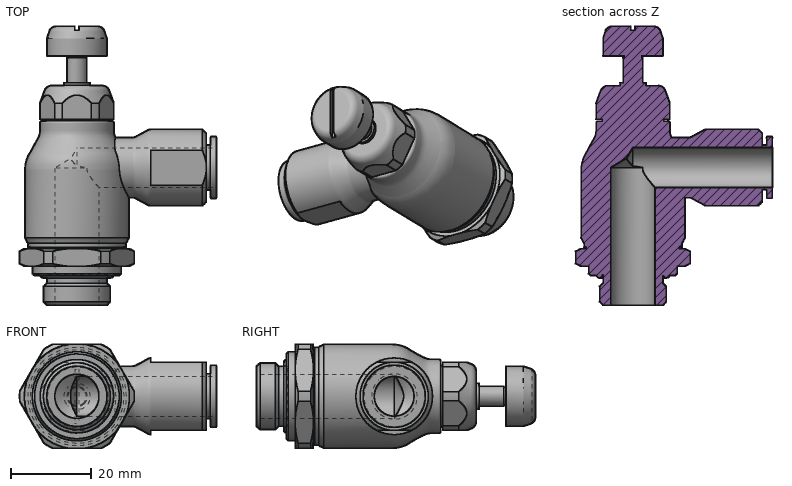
import cadquery as cq
import math


hex_sides = 6

thread_radius = 8.33
thread_neck_radius = 7.5
thread_chamfer_length = 0.9
thread_end_y = 4.7
neck_start_y = 5.53

o_ring_section_radius = 0.85
o_ring_tip_y = 6.8

seat_radius = 11.1
seat_chamfer = 0.55
seat_y = 7.37
nut_bottom_y = 9.72
nut_top_y = 14.12
nut_across_flats = 25.96
nut_corner_radius = 14.3
nut_face_radius = 13.1
nut_chamfer_length = 0.65

groove_radius = 11.65
ring_radius = 12.25
ring_bottom_y = 14.48
ring_top_y = 15.5
body_lip_radius = 12.45
body_lip_y = 15.75
body_step_y = 16.3
body_step_radius = 12.7

body_radius = 12.98
body_bottom_y = 16.8
body_top_y = 33.8
shoulder_arc_end_y = 38.35
shoulder_arc_end_radius = 11.5
shoulder_cone_end_y = 41.55
shoulder_cone_end_radius = 9.75
shoulder_foot_y = 41.95
shoulder_foot_radius = 9.57
collar_radius = 9.25
collar_bottom_y = 43.4
collar_top_y = 45.95
collar_edge = 0.6

cap_groove_radius = 7.7
cap_bottom_y = 46.33
cap_cone_y = 50.35
cap_arc_y = 53.45
cap_top_y = 54.75
cap_across_flats = 17.0
cap_corner_radius = 9.24
cap_arc_radius = 8.1
cap_top_radius = 6.4

stem_collar_radius = 3.27
stem_collar_top_y = 55.47
stem_radius = 2.5
stem_top_y = 61.6
stem_neck_radius = 2.25
knob_bottom_y = 62.04
knob_radius = 7.5
knob_edge = 0.15
knob_cone_y = 66.44
knob_arc_y = 68.15
knob_arc_radius = 6.95
knob_top_radius = 5.3
overall_length = 69.5
slot_width = 1.05
slot_depth = 0.95

port_y = 34.3
port_neck_radius = 7.54
port_neck_end_x = 14.0
port_cone_start_x = 14.65
port_cone_start_radius = 7.72
port_cone_end_x = 17.6
port_cone_end_radius = 9.32
port_radius = 9.55
port_grip_start_x = 18.45
port_end_x = 32.26
port_chamfer = 1.05
port_across_flats = 17.0
collet_neck_radius = 5.65
collet_flange_x = 33.26
collet_flange_radius = 7.77
collet_edge = 0.35
collet_end_x = 34.77

main_bore_radius = 5.5
port_bore_radius = 4.95
drill_half_angle = math.radians(59)


def turned(profile):
    """Solid of revolution about Y from a profile that starts and ends on the axis."""
    return profile.close().revolve(360, (0, 0), (0, 1))


def hex_along_y(across_flats, bottom_y, top_y):
    """Hexagonal prism along Y with flats facing +Z and -Z."""
    across_corners = across_flats / math.cos(math.pi / hex_sides)
    return (
        cq.Workplane("XZ", origin=(0, bottom_y, 0))
        .polygon(hex_sides, across_corners)
        .extrude(bottom_y - top_y)
    )


def make_thread_and_seat():
    o_ring_radius = thread_neck_radius + o_ring_section_radius
    o_ring_y = o_ring_tip_y + o_ring_section_radius
    o_ring_seat_radius = o_ring_radius + math.sqrt(o_ring_section_radius**2 - (o_ring_y - seat_y) ** 2)
    return turned(
        cq.Workplane("XY")
        .lineTo(thread_neck_radius, 0)
        .lineTo(thread_radius, thread_chamfer_length)
        .lineTo(thread_radius, thread_end_y)
        .lineTo(thread_neck_radius, neck_start_y)
        .lineTo(thread_neck_radius, o_ring_y)
        .threePointArc((o_ring_radius, o_ring_tip_y), (o_ring_seat_radius, seat_y))
        .lineTo(seat_radius - seat_chamfer, seat_y)
        .lineTo(seat_radius, seat_y + seat_chamfer)
        .lineTo(seat_radius, nut_bottom_y)
        .lineTo(0, nut_bottom_y)
    )


def make_nut():
    blank = turned(
        cq.Workplane("XY")
        .moveTo(0, nut_bottom_y)
        .lineTo(nut_face_radius, nut_bottom_y)
        .lineTo(nut_corner_radius, nut_bottom_y + nut_chamfer_length)
        .lineTo(nut_corner_radius, nut_top_y - nut_chamfer_length)
        .lineTo(nut_face_radius, nut_top_y)
        .lineTo(0, nut_top_y)
    )
    return blank.intersect(hex_along_y(nut_across_flats, nut_bottom_y, nut_top_y))


def make_body():
    return turned(
        cq.Workplane("XY")
        .moveTo(0, nut_top_y)
        .lineTo(groove_radius, nut_top_y)
        .lineTo(groove_radius, ring_bottom_y)
        .lineTo(ring_radius, ring_bottom_y)
        .lineTo(ring_radius, ring_top_y)
        .lineTo(body_lip_radius, body_lip_y)
        .lineTo(body_step_radius, body_step_y)
        .lineTo(body_radius, body_bottom_y)
        .lineTo(body_radius, body_top_y)
        .tangentArcPoint((shoulder_arc_end_radius, shoulder_arc_end_y), relative=False)
        .lineTo(shoulder_cone_end_radius, shoulder_cone_end_y)
        .lineTo(shoulder_foot_radius, shoulder_foot_y)
        .tangentArcPoint((collar_radius, collar_bottom_y), relative=False)
        .lineTo(collar_radius, collar_top_y - collar_edge)
        .tangentArcPoint((collar_radius - collar_edge, collar_top_y), relative=False)
        .lineTo(cap_groove_radius, collar_top_y)
        .lineTo(cap_groove_radius, cap_bottom_y)
        .lineTo(0, cap_bottom_y)
    )


def make_cap():
    blank = turned(
        cq.Workplane("XY")
        .moveTo(0, cap_bottom_y)
        .lineTo(cap_corner_radius, cap_bottom_y)
        .lineTo(cap_corner_radius, cap_cone_y)
        .lineTo(cap_arc_radius, cap_arc_y)
        .tangentArcPoint((cap_top_radius, cap_top_y), relative=False)
        .lineTo(0, cap_top_y)
    )
    return blank.intersect(hex_along_y(cap_across_flats, cap_bottom_y, cap_top_y))


def make_knob():
    knob = turned(
        cq.Workplane("XY")
        .moveTo(0, cap_top_y)
        .lineTo(stem_collar_radius, cap_top_y)
        .lineTo(stem_collar_radius, stem_collar_top_y)
        .lineTo(stem_radius, stem_collar_top_y)
        .lineTo(stem_radius, stem_top_y)
        .lineTo(stem_neck_radius, stem_top_y)
        .lineTo(stem_neck_radius, knob_bottom_y)
        .lineTo(knob_radius - knob_edge, knob_bottom_y)
        .lineTo(knob_radius, knob_bottom_y + knob_edge)
        .lineTo(knob_radius, knob_cone_y)
        .lineTo(knob_arc_radius, knob_arc_y)
        .tangentArcPoint((knob_top_radius, overall_length), relative=False)
        .lineTo(0, overall_length)
    )
    slot = cq.Workplane("XY").box(slot_width, 2 * slot_depth, 2 * knob_radius)
    return knob.cut(slot.translate((0, overall_length, 0)))


def make_port():
    """Port sleeve and collet, turned about the X direction at the port height."""
    sleeve = (
        cq.Workplane("XY", origin=(0, port_y, 0))
        .lineTo(0, port_neck_radius)
        .lineTo(port_neck_end_x, port_neck_radius)
        .tangentArcPoint((port_cone_start_x, port_cone_start_radius), relative=False)
        .lineTo(port_cone_end_x, port_cone_end_radius)
        .tangentArcPoint((port_grip_start_x, port_radius), relative=False)
        .lineTo(port_end_x - port_chamfer, port_radius)
        .lineTo(port_end_x, port_radius - port_chamfer)
        .lineTo(port_end_x, 0)
        .close()
        .revolve(360, (0, 0), (1, 0))
    )
    grip_length = port_end_x - port_grip_start_x
    for side in (1, -1):
        flat_cutter = cq.Workplane("XY").box(grip_length, 2 * port_radius, port_radius)
        flat_z = side * (port_across_flats + port_radius) / 2
        sleeve = sleeve.cut(flat_cutter.translate((port_grip_start_x + grip_length / 2, port_y, flat_z)))
    collet_neck = (
        cq.Workplane("YZ", origin=(port_end_x, port_y, 0))
        .circle(collet_neck_radius)
        .extrude(collet_flange_x - port_end_x)
    )
    collet_flange = (
        cq.Workplane("YZ", origin=(collet_flange_x, port_y, 0))
        .circle(collet_flange_radius)
        .extrude(collet_end_x - collet_flange_x)
        .edges()
        .fillet(collet_edge)
    )
    return sleeve.union(collet_neck).union(collet_flange)


def make_passages():
    """Drilled bores with pointed ends, one from the thread and one from the port, that meet."""
    main_tip_y = port_y + main_bore_radius / math.tan(drill_half_angle)
    main_bore = turned(
        cq.Workplane("XY")
        .lineTo(main_bore_radius, 0)
        .lineTo(main_bore_radius, port_y)
        .lineTo(0, main_tip_y)
    )
    port_bore = (
        cq.Workplane("XY", origin=(0, port_y, 0))
        .moveTo(-port_bore_radius / math.tan(drill_half_angle), 0)
        .lineTo(0, port_bore_radius)
        .lineTo(collet_end_x, port_bore_radius)
        .lineTo(collet_end_x, 0)
        .close()
        .revolve(360, (0, 0), (1, 0))
    )
    return main_bore.union(port_bore)


outside = make_body()
for piece in (make_thread_and_seat(), make_nut(), make_cap(), make_knob(), make_port()):
    outside = outside.union(piece)

result = outside.cut(make_passages())